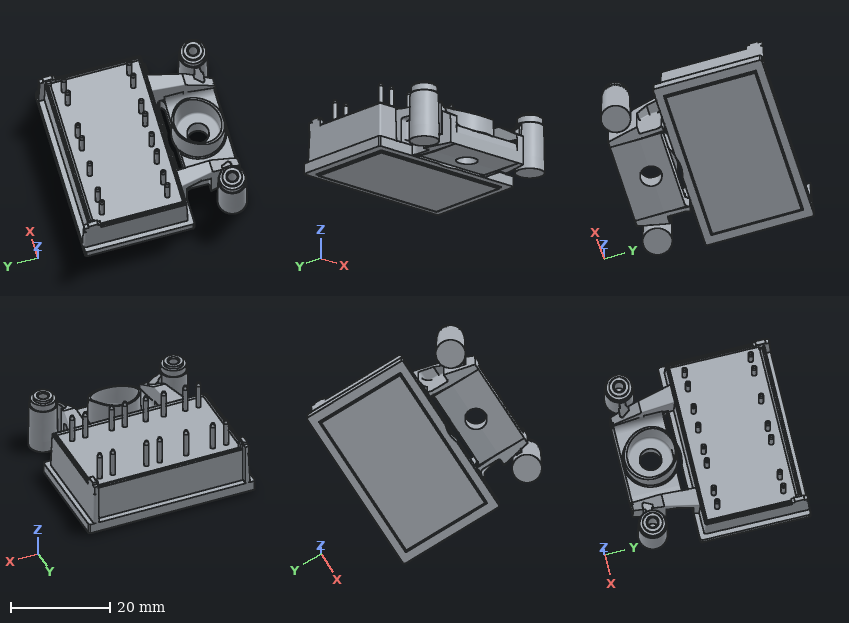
import cadquery as cq

flange_width = 36.6
flange_depth = 22.9
flange_bottom = 0.4
flange_top = 2.6
flange_chamfer = 0.3
back_y = flange_depth / 2
flange_front_y = -flange_depth / 2
overall_depth = 34.85
front_y = back_y - overall_depth

substrate_width = 32.0
substrate_depth = 18.8
step_height = 0.1
step_margin = 0.3

body_width = 34.5
body_front_y = -10.4
body_top = 10.45
body_draft = 1.9
body_edge = 0.25
pot_depth = 0.4
insert_z = body_top - 2 * pot_depth
pot_half_width = 16.1
pot_front_y = -9.55
pot_back_y = 9.0
pot_bevel = 0.3
pot_back_bevel = 0.5
body_corner_radius = 0.4
recess_foot_y = 10.2
recess_top_y = 10.1

ear_outer_x = 17.0
ear_inner_x = 16.1
ear_back_y = 11.2
ear_front_y = 7.8
ear_top = 11.5
tab_back_y = 10.4
tab_front_y = 8.4
tab_top = 12.1
tab_foot_x = 15.6
tab_foot_width = 1.0

pin_radius = 0.5
pin_tip_radius = 0.25
pin_shoulder = 15.3
pin_top = 15.98
back_row_y = 6.75
front_row_y = -6.95
back_row_x = [-13.9, -11.0, -5.1, 0.7, 3.6, 11.0, 13.9]
front_row_x = [-13.9, -11.0, -6.25, -2.3, 2.3, 5.2, 11.0, 13.9]

bracket_back_y = -12.75
gap_corner_radius = 1.0
gap_corner_overlap = 0.25
floor_z = 4.2
bracket_bottom_rise = 0.3
front_lean = 0.1
front_bevel_y = 0.25
front_bevel_z = 0.6
arm_outer_back_x = 12.85
arm_outer_front_x = 9.85
arm_inner_back_x = 9.0
arm_inner_front_x = 8.2
arm_back_top = 9.95
arm_break_y = -17.2
arm_break_top = 9.45
arm_front_top = 6.05
arm_edge_radius = 0.25
arm_root_overlap = 0.4
cove_radius = 2.0

pocket_back_y = -11.5
pocket_front_y = -16.85
pocket_top = 7.75
pocket_bend_y = -14.7
pocket_front_top = 6.4
pocket_floor_x = 9.7
pocket_corner_radius = 0.6
pocket_floor_round = 0.25
pocket_back_radius = 1.7
passage_front_y = -11.9
passage_mouth_y = -12.6
passage_top = 3.3

boss_y = -17.35
boss_base_radius = 5.45
boss_top_radius = 5.28
boss_bore_top_radius = 4.95
boss_bore_floor_radius = 4.55
boss_bore_round = 0.45
boss_floor_z = 4.0
screw_hole_radius = 2.2
boss_foot = 0.3
boss_back_top = 11.05
boss_bend_y = -14.0
boss_middle_y = -17.7
boss_middle_top = 9.95
boss_front_top = 8.0
boss_front_slope = 0.38
clearance_radius = 6.3

post_x = 14.35
post_radius = 3.0
post_y = front_y + post_radius
post_waist_radius = 2.85
post_neck_radius = 2.63
post_neck_z = 10.0
post_shoulder_z = 11.5
post_top = 12.1
post_ring_radius = 2.0
post_hole_radius = 1.0
post_hole_bevel = 0.25
post_hole_depth = 6.0

web_thickness = 1.2
web_flare = 0.4
web_flare_x = 10.6
web_bottom = 2.2
web_inner_x = 8.8
web_inner_top = 7.2
web_outer_top = 10.0
web_outer_x = 12.0


def box(x0, x1, y0, y1, z0, z1):
    return cq.Workplane("XY").box(x1 - x0, y1 - y0, z1 - z0, centered=False).translate((x0, y0, z0))


def cone(radius_low, radius_high, z0, z1, x=0, y=0):
    return cq.Workplane("XY").add(
        cq.Solid.makeCone(radius_low, radius_high, z1 - z0, pnt=cq.Vector(x, y, z0))
    )


def cylinder(radius, z0, z1, x=0, y=0):
    return cq.Workplane("XY", origin=(x, y, z0)).circle(radius).extrude(z1 - z0)


def on_both_sides(shape):
    return shape.union(shape.mirror("YZ"))


def make_flange():
    flange = box(-flange_width / 2, flange_width / 2, flange_front_y, back_y, flange_bottom, flange_top)
    flange = flange.edges("|Z").chamfer(flange_chamfer)
    flange = flange.cut(cylinder(clearance_radius, 0, flange_top, y=boss_y))
    step_bottom = flange_bottom - step_height
    step = cq.Workplane("XY", origin=(0, 0, step_bottom)).rect(
        substrate_width + 2 * step_margin, substrate_depth + 2 * step_margin
    ).extrude(step_height)
    substrate = cq.Workplane("XY").rect(substrate_width, substrate_depth).extrude(step_bottom)
    return flange.union(step).union(substrate)


def make_housing():
    """Drafted shell with a shallow potted top and a back wall set in between the ears."""
    middle_y = (back_y + body_front_y) / 2
    housing = (
        cq.Workplane("XY", origin=(0, middle_y, flange_top))
        .rect(body_width, back_y - body_front_y)
        .extrude(body_top - flange_top, taper=body_draft)
        .edges("not(|X or |Y)").fillet(body_corner_radius)
    )
    recess = (
        cq.Workplane("YZ", origin=(-ear_inner_x, 0, 0))
        .polyline([
            (recess_foot_y, flange_top),
            (recess_top_y, body_top),
            (back_y, body_top),
            (back_y, flange_top),
        ])
        .close()
        .extrude(2 * ear_inner_x)
    )
    housing = housing.cut(recess).faces(">Z").edges().chamfer(body_edge)
    pot_z = body_top - pot_depth
    pot_middle_y = (pot_back_y + pot_front_y) / 2
    pot = (
        cq.Workplane("XY", origin=(0, pot_middle_y, pot_z))
        .rect(2 * pot_half_width, pot_back_y - pot_front_y)
        .workplane(offset=pot_depth)
        .center(0, (pot_back_bevel - pot_bevel) / 2)
        .rect(2 * (pot_half_width + pot_bevel), pot_back_y - pot_front_y + pot_back_bevel + pot_bevel)
        .loft(combine=True)
    )
    return housing.cut(pot)


def make_ears():
    ear = box(ear_inner_x, ear_outer_x, ear_front_y, ear_back_y, insert_z, ear_top)
    tab = box(ear_inner_x, ear_outer_x, tab_front_y, tab_back_y, ear_top, tab_top)
    foot_y = (tab_back_y + tab_front_y) / 2
    foot = box(
        tab_foot_x, ear_inner_x, foot_y - tab_foot_width / 2, foot_y + tab_foot_width / 2, insert_z, ear_top
    )
    return on_both_sides(ear.union(tab).union(foot))


def make_pins():
    places = [(x, back_row_y) for x in back_row_x] + [(x, front_row_y) for x in front_row_x]
    shafts = cq.Workplane("XY", origin=(0, 0, insert_z)).pushPoints(places).circle(pin_radius)
    pins = shafts.extrude(pin_shoulder - insert_z)
    for x, y in places:
        pins = pins.union(cone(pin_radius, pin_tip_radius, pin_shoulder, pin_top, x, y))
    return pins


def make_arm():
    """Right-hand arm: tapering outline, sloping top and an arched pocket in its outer side."""
    root_y = body_front_y + arm_root_overlap
    outline = (
        cq.Workplane("XY")
        .polyline([
            (arm_outer_back_x, root_y),
            (arm_inner_back_x, root_y),
            (arm_inner_front_x, front_y),
            (arm_outer_front_x, front_y),
        ])
        .close()
        .extrude(body_top)
    )
    side = (
        cq.Workplane("YZ")
        .polyline([
            (front_y, 0),
            (front_y, flange_top),
            (front_y + front_lean, arm_front_top),
            (arm_break_y, arm_break_top),
            (root_y, arm_back_top),
            (root_y, flange_top),
            (pocket_back_y, flange_top),
            (pocket_back_y, bracket_bottom_rise),
        ])
        .close()
        .extrude(arm_outer_back_x)
    )
    pocket = (
        cq.Workplane("YZ", origin=(pocket_floor_x, 0, 0))
        .polyline([
            (pocket_front_y, 0),
            (pocket_front_y, pocket_front_top),
            (pocket_bend_y, pocket_top),
            (pocket_back_y, pocket_top),
            (pocket_back_y, 0),
        ])
        .close()
        .extrude(arm_outer_back_x - pocket_floor_x)
        .edges("|X and >Z and >Y").fillet(pocket_corner_radius)
        .faces("<X").edges("not(<Z or >Y)").fillet(pocket_floor_round)
    )
    back_corner = (
        cq.Workplane("XY", origin=(pocket_floor_x, pocket_back_y, 0))
        .lineTo(pocket_back_radius, 0)
        .radiusArc((0, -pocket_back_radius), -pocket_back_radius)
        .close()
        .extrude(pocket_top)
    )
    passage = (
        cq.Workplane("XY")
        .polyline([
            (0, pocket_back_y),
            (arm_outer_back_x, pocket_back_y),
            (arm_outer_back_x, passage_mouth_y),
            (arm_inner_back_x, passage_front_y),
            (0, passage_front_y),
        ])
        .close()
        .extrude(passage_top)
    )
    arm = outline.intersect(side)
    top_edges = arm.faces(">Z").edges("not |X").add(arm.faces("<Y").faces(">Z").edges("|Y"))
    arm = arm.newObject(top_edges.vals()).fillet(arm_edge_radius)
    return arm.cut(pocket.cut(back_corner)).cut(passage)


def make_bracket():
    arms = on_both_sides(make_arm())
    half_width = (arm_inner_back_x + arm_inner_front_x) / 2
    floor = (
        cq.Workplane("YZ", origin=(-half_width, 0, 0))
        .polyline([
            (bracket_back_y, 0),
            (front_y, 0),
            (front_y, flange_top),
            (front_y + front_lean, floor_z - front_bevel_z),
            (front_y + front_lean + front_bevel_y, floor_z),
            (bracket_back_y, floor_z),
        ])
        .close()
        .extrude(2 * half_width)
    )
    cove_height = floor_z + cove_radius
    cove = (
        cq.Workplane("XZ", origin=(0, bracket_back_y, 0))
        .moveTo(half_width, floor_z)
        .lineTo(half_width - cove_radius, floor_z)
        .radiusArc((half_width, cove_height), -cove_radius)
        .close()
        .extrude(bracket_back_y - front_y - front_lean - front_bevel_y)
    )
    gap_corner = (
        cq.Workplane("XY", origin=(half_width + gap_corner_overlap, bracket_back_y, 0))
        .lineTo(-gap_corner_radius, 0)
        .radiusArc((0, gap_corner_radius), -gap_corner_radius)
        .close()
        .extrude(floor_z)
    )
    bracket = arms.union(floor).union(on_both_sides(cove.union(gap_corner)))
    underside = (
        cq.Workplane("YZ", origin=(-flange_width / 2, 0, 0))
        .polyline([(arm_break_y, 0), (pocket_back_y, 0), (pocket_back_y, bracket_bottom_rise)])
        .close()
        .extrude(flange_width)
    )
    return bracket.cut(underside)


def make_boss():
    shell = cone(boss_base_radius, boss_top_radius, floor_z, boss_back_top, y=boss_y)
    foot = cone(boss_base_radius + boss_foot, boss_base_radius, floor_z, floor_z + boss_foot, y=boss_y)
    foot = foot.intersect(
        box(-clearance_radius, clearance_radius, front_y, bracket_back_y, floor_z, floor_z + boss_foot)
    )
    boss_front_y = boss_y - boss_base_radius
    keep = (
        cq.Workplane("YZ", origin=(-clearance_radius, 0, 0))
        .moveTo(boss_y + clearance_radius, floor_z)
        .lineTo(boss_y + clearance_radius, boss_back_top)
        .lineTo(boss_bend_y, boss_back_top)
        .spline([(boss_middle_y, boss_middle_top), (boss_front_y, boss_front_top)],
                tangents=[(-1, 0), (-1, -boss_front_slope)], includeCurrent=True)
        .lineTo(front_y, boss_front_top)
        .lineTo(front_y, floor_z)
        .close()
        .extrude(2 * clearance_radius)
    )
    return shell.union(foot).intersect(keep)


def make_boss_bore():
    bore = cone(boss_bore_floor_radius, boss_bore_top_radius, boss_floor_z, boss_back_top, y=boss_y)
    bore = bore.faces("<Z").edges().fillet(boss_bore_round)
    return bore.union(cylinder(screw_hole_radius, 0, boss_floor_z, y=boss_y))


def make_posts():
    """Stepped, slightly tapering posts with a raised ring and a blind hole at the top."""
    post = (
        cq.Workplane("XZ")
        .polyline([
            (0, 0),
            (post_radius, 0),
            (post_radius, flange_top),
            (post_waist_radius, post_neck_z),
            (post_neck_radius, post_neck_z),
            (post_neck_radius, post_shoulder_z),
            (post_ring_radius, post_shoulder_z),
            (post_ring_radius, post_top),
            (post_hole_radius + post_hole_bevel, post_top),
            (post_hole_radius, post_top - post_hole_bevel),
            (post_hole_radius, post_top - post_hole_depth),
            (0, post_top - post_hole_depth),
        ])
        .close()
        .revolve(360, (0, 0, 0), (0, 1, 0))
        .translate((post_x, post_y, 0))
    )
    return on_both_sides(post)


def make_webs():
    elevation = (
        cq.Workplane("XZ", origin=(0, post_y + web_thickness, 0))
        .polyline([
            (web_inner_x, web_bottom),
            (web_inner_x, web_inner_top),
            (web_outer_x, web_outer_top),
            (web_outer_x, web_bottom),
        ])
        .close()
        .extrude(2 * web_thickness)
    )
    half = web_thickness / 2
    plan = (
        cq.Workplane("XY", origin=(0, post_y, 0))
        .moveTo(web_outer_x, half)
        .lineTo(web_flare_x + web_flare, half)
        .radiusArc((web_flare_x, half + web_flare), web_flare)
        .lineTo(web_inner_x + half, half + web_flare)
        .threePointArc((web_inner_x, 0), (web_inner_x + half, -half - web_flare))
        .lineTo(web_flare_x, -half - web_flare)
        .radiusArc((web_flare_x + web_flare, -half), web_flare)
        .lineTo(web_outer_x, -half)
        .close()
        .extrude(web_outer_top)
    )
    return on_both_sides(elevation.intersect(plan))


result = (
    make_flange()
    .union(make_housing())
    .union(make_ears())
    .union(make_pins())
    .union(make_bracket())
    .union(make_boss())
    .union(make_webs())
    .union(make_posts())
    .cut(make_boss_bore())
)